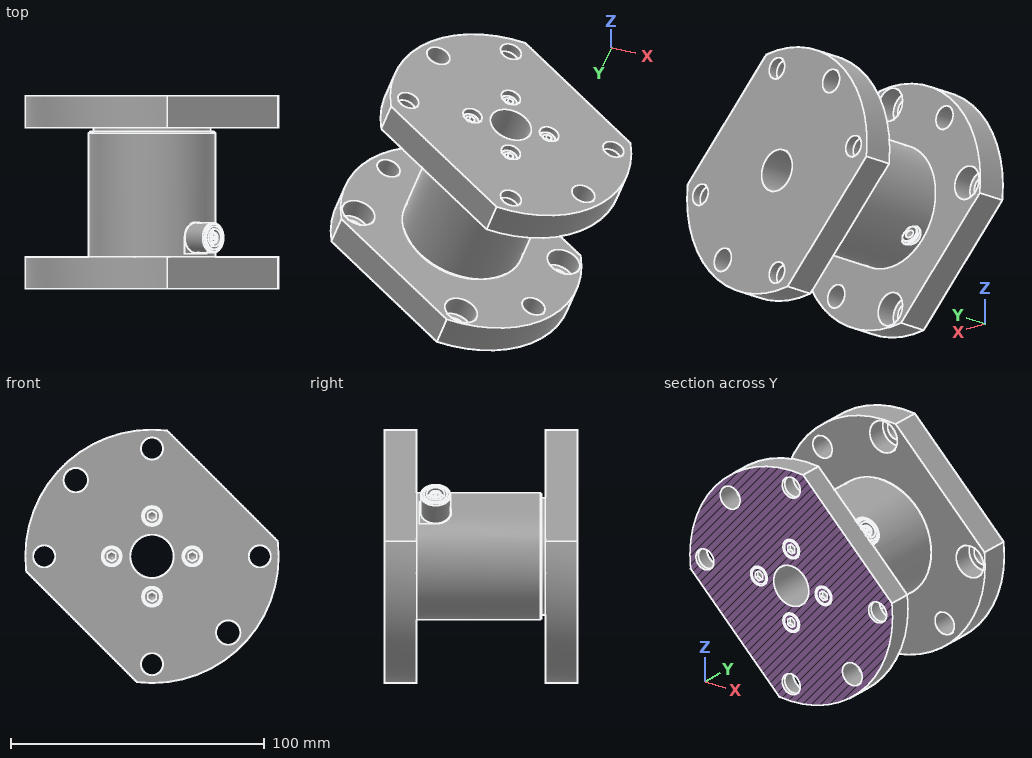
import cadquery as cq
import math

flange_diameter = 100.0
flange_thickness = 12.7
flat_distance = 39.3
flat_angle = 45
total_length = 76.2
hub_diameter = 50.2
neck_diameter = 46.4
neck_length = 1.4
hub_chamfer = 0.7
bore_diameter = 17.0

front_face = -total_length / 2
front_seat = front_face + flange_thickness
back_face = total_length / 2
back_seat = back_face - flange_thickness
hub_end = back_seat - neck_length

bolt_circle_radius = 42.5
bolt_diameter = 8.6
bolt_head_diameter = 13.5
bolt_head_depth = 8.5
dowel_diameter = 9.5
cardinal_angles = (0, 90, 180, 270)
dowel_angles = (135, 315)

screw_circle_radius = 15.9
screw_pocket_diameter = 7.9
screw_pocket_depth = 5.5
screw_head_diameter = 6.9
screw_head_recess = 2.2
screw_head_chamfer = 0.3
socket_across_flats = 3.4
socket_depth = 2.0
socket_tip_depth = 1.0

connector_angle = 45
connector_y = -17.9
connector_diameter = 11.8
connector_radius_out = 34.6
connector_chamfer = 0.5
collar_diameter = 9.2
collar_height = 0.3
cavity_diameter = 6.9
cavity_depth = 3.0
core_diameter = 4.2
core_recess = 0.3
contact_diameter = 3.3
contact_depth = 0.5
pin_diameter = 1.1

seat_width = 12.4
seat_radius_out = 24.3
front_band = 1.1

button_angle = 225
button_y = -19.4
button_pocket_diameter = 8.6
button_pocket_radius = 23.7
button_well_diameter = 6.9
button_well_depth = 0.7
button_diameter = 6.7
button_height = 0.5
button_socket_diameter = 3.3
button_socket_depth = 4.0


def axial_plane(y):
    """Plane across the part at y, with local axes along X and Z and its normal along -Y."""
    return cq.Workplane("XZ", origin=(0, y, 0))


def axial_cylinder(diameter, y_start, y_end, x=0, z=0):
    return axial_plane(y_start).center(x, z).circle(diameter / 2).extrude(y_start - y_end)


def polar(radius, angle):
    turn = math.radians(angle)
    return radius * math.cos(turn), radius * math.sin(turn)


def radial_plane(angle, y, radius):
    """Plane facing outward from the hub axis; local x runs along +Y."""
    direction_x, direction_z = polar(1, angle)
    origin = (radius * direction_x, y, radius * direction_z)
    return cq.Workplane(cq.Plane(origin=origin, xDir=(0, 1, 0), normal=(direction_x, 0, direction_z)))


def radial_cylinder(diameter, angle, y, inner, outer):
    return radial_plane(angle, y, inner).circle(diameter / 2).extrude(outer - inner)


def radial_cone(inner_diameter, outer_diameter, angle, y, inner, outer):
    base = radial_plane(angle, y, inner).circle(inner_diameter / 2)
    return base.workplane(offset=outer - inner).circle(outer_diameter / 2).loft()


def flange(outer_face, inner_face):
    """Round plate with flats facing +X +Z and -X -Z, its bolt holes counterbored on the inner face."""
    disc = axial_cylinder(flange_diameter, outer_face, inner_face)
    strip = cq.Workplane("XY").box(2 * flat_distance, flange_thickness, flange_diameter)
    strip = strip.rotate((0, 0, 0), (0, 1, 0), -flat_angle).translate((0, (outer_face + inner_face) / 2, 0))
    counterbore_floor = inner_face + math.copysign(bolt_head_depth, outer_face - inner_face)
    plate = disc.intersect(strip)
    for angle in cardinal_angles:
        place = polar(bolt_circle_radius, angle)
        plate = plate.cut(axial_cylinder(bolt_diameter, outer_face, inner_face, *place))
        plate = plate.cut(axial_cylinder(bolt_head_diameter, counterbore_floor, inner_face, *place))
    for angle in dowel_angles:
        place = polar(bolt_circle_radius, angle)
        plate = plate.cut(axial_cylinder(dowel_diameter, outer_face, inner_face, *place))
    return plate


def hub():
    barrel = axial_cylinder(hub_diameter, front_seat, hub_end).faces(">Y").chamfer(hub_chamfer)
    return barrel.union(axial_cylinder(neck_diameter, hub_end, back_seat))


def connector_seat():
    """U-shaped cutter: round towards the back, straight towards the front band."""
    straight_length = connector_y - (front_seat + front_band)
    depth = hub_diameter / 2 - seat_radius_out
    plane = radial_plane(connector_angle, connector_y, seat_radius_out)
    round_end = plane.circle(seat_width / 2).extrude(depth)
    straight = plane.center(-straight_length / 2, 0).rect(straight_length, seat_width).extrude(depth)
    return round_end.union(straight)


def connector():
    place = (connector_angle, connector_y)
    tip = connector_radius_out + collar_height
    cavity_floor = tip - cavity_depth
    core_top = tip - core_recess
    contact_floor = core_top - contact_depth
    chamfer_start = connector_radius_out - connector_chamfer
    shoulder_diameter = connector_diameter - 2 * connector_chamfer
    root = (bore_diameter + hub_diameter) / 4
    shell = radial_cylinder(connector_diameter, *place, root, chamfer_start)
    chamfer = radial_cone(connector_diameter, shoulder_diameter, *place, chamfer_start, connector_radius_out)
    shell = shell.union(chamfer)
    shell = shell.union(radial_cylinder(collar_diameter, *place, connector_radius_out, tip))
    shell = shell.cut(radial_cylinder(cavity_diameter, *place, cavity_floor, tip))
    core = radial_cylinder(core_diameter, *place, cavity_floor, core_top)
    core = core.cut(radial_cylinder(contact_diameter, *place, contact_floor, core_top))
    core = core.union(radial_cylinder(pin_diameter, *place, contact_floor, core_top))
    return shell.union(core)


def button_pocket():
    """Stepped round pocket that leaves a low conical screw head with a round socket on its floor."""
    place = (button_angle, button_y)
    well_floor = button_pocket_radius - button_well_depth
    head_top = well_floor + button_height
    pocket = radial_cylinder(button_pocket_diameter, *place, button_pocket_radius, hub_diameter / 2)
    well = radial_cylinder(button_well_diameter, *place, well_floor, button_pocket_radius)
    well = well.cut(radial_cone(button_diameter, button_socket_diameter, *place, well_floor, head_top))
    socket = radial_cylinder(button_socket_diameter, *place, head_top - button_socket_depth, head_top)
    return pocket.union(well).union(socket)


def screw_pocket(x, z):
    """Counterbore cutter that leaves a chamfered screw head with a hexagon socket standing inside."""
    head_top = front_face + screw_head_recess
    pocket_floor = front_face + screw_pocket_depth
    socket_floor = head_top + socket_depth
    across_corners = 2 * socket_across_flats / math.sqrt(3)
    pocket = axial_cylinder(screw_pocket_diameter, front_face, pocket_floor, x, z)
    head = axial_cylinder(screw_head_diameter, head_top, pocket_floor, x, z)
    head = head.faces("<Y").chamfer(screw_head_chamfer)
    hexagon = axial_plane(head_top).center(x, z).transformed(rotate=(0, 0, 90)).polygon(6, across_corners)
    drill_tip = cq.Solid.makeCone(
        across_corners / 2,
        0,
        socket_tip_depth,
        pnt=cq.Vector(x, socket_floor, z),
        dir=cq.Vector(0, 1, 0),
    )
    drilled = axial_cylinder(across_corners, head_top, socket_floor, x, z).union(cq.Workplane(drill_tip))
    socket = hexagon.extrude(-socket_depth - socket_tip_depth).intersect(drilled)
    return pocket.cut(head).union(socket)


result = flange(front_face, front_seat).union(flange(back_face, back_seat))
result = result.union(hub())
result = result.cut(connector_seat()).union(connector())
result = result.cut(button_pocket())
for screw_angle in cardinal_angles:
    result = result.cut(screw_pocket(*polar(screw_circle_radius, screw_angle)))
result = result.cut(axial_cylinder(bore_diameter, front_face, back_face))